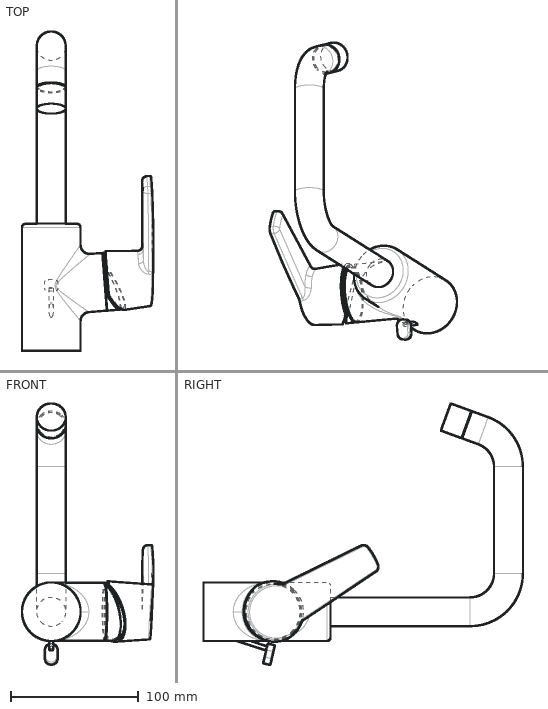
import cadquery as cq
import math

body_radius = 23.0
body_length = 99.7
body_end_fillet = 3.0

tube_diameter = 22.8
tube_radius = tube_diameter / 2
total_length = 250.5
riser_y = total_length - tube_radius
bend_radius = 30
riser_top_z = 113.8
nozzle_turn = 70
nozzle_length = 31.3
nozzle_groove_start = 13.5
nozzle_groove_width = 0.5
nozzle_groove_radius = 10.3

branch_y = 50.9
branch_tilt = 4.5
branch_radius = 22.8
branch_fillet = 7.0
branch_end = 41.9
core_radius = 21.5
collar_start = 42.4
collar_end = 43.5
collar_radius = branch_radius

lever_turn = 30
cap_start = 44.5
cap_start_radius = 24.0
cap_taper = 4
collar_slope = 0.42
cap_slope = 0.53
cap_reach = 27.5
core_end = 70.2
handle_back_height = 75.7
handle_front_height = 81.5
lever_length = 88.2
lever_tip_height = 85.0
lever_under_base = 72.2
lever_under_tip = 77.7
lever_base_half_width = 17.3
lever_tip_half_width = 11.5
lever_tip_bulge = 1.3
lever_corner_radius = 4.5
lever_edge_fillet = 4.0
lever_root_fillet = 3.8
root_top = 79.7
crown_edge_fillet = 1.3

rod_radius = 1.8
rod_drop = 18
rod_start_y = 25
rod_start_z = -20.8
rod_length = 25.5
knob_width = 10.3
knob_length = 16.0
knob_thickness = 6.0
knob_lean = 13
knob_fillet = 1.0
knob_y = 51.4
knob_z = -33.3


def make_spout():
    turn = math.radians(nozzle_turn)
    diagonal = bend_radius * math.sqrt(0.5)
    start_y = body_length / 2
    lower_center = (riser_y - bend_radius, bend_radius)
    upper_center = (riser_y - bend_radius, riser_top_z)

    def on_upper_bend(angle):
        y = upper_center[0] + bend_radius * math.cos(angle)
        z = upper_center[1] + bend_radius * math.sin(angle)
        return y, z

    nozzle_y, nozzle_z = on_upper_bend(turn)
    direction = cq.Vector(0, -math.sin(turn), math.cos(turn))
    path = (
        cq.Workplane("YZ")
        .moveTo(start_y, 0)
        .lineTo(lower_center[0], 0)
        .threePointArc((lower_center[0] + diagonal, lower_center[1] - diagonal), (riser_y, bend_radius))
        .lineTo(riser_y, riser_top_z)
        .threePointArc(on_upper_bend(turn / 2), (nozzle_y, nozzle_z))
        .lineTo(nozzle_y + direction.y * nozzle_length, nozzle_z + direction.z * nozzle_length)
    )
    section = cq.Workplane("XZ", origin=(0, start_y, 0)).circle(tube_radius)
    spout = section.sweep(path)

    groove_center = cq.Vector(0, nozzle_y, nozzle_z) + direction * nozzle_groove_start
    groove_plane = cq.Plane(origin=groove_center, xDir=(1, 0, 0), normal=direction)
    groove = (
        cq.Workplane(groove_plane)
        .circle(tube_diameter)
        .circle(nozzle_groove_radius)
        .extrude(nozzle_groove_width)
    )
    return spout.cut(groove)


def make_body():
    body = (
        cq.Workplane("XZ")
        .circle(body_radius)
        .extrude(-body_length)
        .faces(">Y")
        .edges()
        .fillet(body_end_fillet)
    )
    branch = cq.Workplane(branch_plane).circle(branch_radius).extrude(branch_end)
    seam_box = cq.selectors.BoxSelector(
        (0, body_end_fillet, -body_radius),
        (body_radius, body_length - 2 * body_end_fillet, body_radius),
    )
    return body.union(branch).edges(seam_box).fillet(branch_fillet)


def crowned_profile(start_points):
    """Local XZ outline closed by the gently crowned outer surface, cut across the handle."""
    return (
        cq.Workplane("XZ")
        .polyline(start_points)
        .threePointArc((body_radius, handle_front_height), (-cap_reach, handle_back_height))
        .close()
        .extrude(cap_reach, both=True)
    )


def make_collar():
    core = cq.Workplane("XY").circle(core_radius).extrude(core_end)
    ring = cq.Workplane("XY").circle(collar_radius).extrude(core_end)
    profile = (
        cq.Workplane("XZ")
        .moveTo(-cap_reach, collar_start)
        .lineTo(cap_reach, collar_start)
        .lineTo(cap_reach, collar_end)
        .lineTo(0, collar_end)
        .lineTo(-cap_reach, collar_end + cap_reach * collar_slope)
        .close()
        .extrude(cap_reach, both=True)
    )
    return core.union(ring.intersect(profile))


def make_cap():
    cone = (
        cq.Workplane("XY", origin=(0, 0, cap_start))
        .circle(cap_start_radius)
        .extrude(lever_tip_height - cap_start, taper=cap_taper)
    )
    profile = crowned_profile([
        (-cap_reach, cap_start + cap_reach * cap_slope),
        (0, cap_start),
        (lever_length, cap_start),
        (lever_length, lever_tip_height),
    ])
    return cone.intersect(profile)


def make_lever():
    tip_corner = lever_length - lever_tip_bulge
    plate = (
        cq.Workplane("XY")
        .moveTo(0, -lever_base_half_width)
        .lineTo(tip_corner, -lever_tip_half_width)
        .threePointArc((lever_length, 0), (tip_corner, lever_tip_half_width))
        .lineTo(0, lever_base_half_width)
        .close()
        .extrude(lever_tip_height)
        .edges("|Z and (not <X)")
        .fillet(lever_corner_radius)
    )
    profile = crowned_profile([
        (0, lever_under_base),
        (lever_length, lever_under_tip),
        (lever_length, lever_tip_height),
    ])
    lever = plate.intersect(profile)
    return lever.faces("<Z").edges("not <X").fillet(lever_edge_fillet)


def make_handle():
    grip = make_cap().union(make_lever())
    root_box = cq.selectors.BoxSelector(
        (cap_reach / 2, -cap_reach, core_end), (body_radius, cap_reach, root_top)
    )
    grip = grip.edges(root_box).fillet(lever_root_fillet)
    crown = cq.selectors.NearestToPointSelector((lever_length / 3, 0, handle_front_height))
    grip = grip.faces(crown).edges().fillet(crown_edge_fillet)
    handle = grip.union(make_collar())
    return cq.Workplane(handle.val().moved(cq.Location(handle_plane)))


def make_knob():
    rod_plane = cq.Plane(
        origin=(0, rod_start_y, rod_start_z), xDir=(1, 0, 0), normal=rod_direction
    )
    rod = cq.Workplane(rod_plane).circle(rod_radius).extrude(rod_length)
    knob = (
        cq.Workplane("XZ")
        .slot2D(knob_length, knob_width, 90)
        .extrude(knob_thickness / 2, both=True)
        .edges()
        .fillet(knob_fillet)
        .rotate((0, 0, 0), (1, 0, 0), -knob_lean)
        .translate((0, knob_y, knob_z))
    )
    return rod.union(knob)


tilt = math.radians(branch_tilt)
turn = math.radians(lever_turn)
drop = math.radians(rod_drop)
branch_axis = cq.Vector(math.cos(tilt), math.sin(tilt), 0)
branch_side = cq.Vector(-math.sin(tilt), math.cos(tilt), 0)
lever_axis = branch_side * math.cos(turn) + cq.Vector(0, 0, math.sin(turn))
rod_direction = cq.Vector(0, math.cos(drop), -math.sin(drop))
branch_origin = cq.Vector(0, branch_y, 0)
branch_plane = cq.Plane(origin=branch_origin, xDir=branch_side, normal=branch_axis)
handle_plane = cq.Plane(origin=branch_origin, xDir=lever_axis, normal=branch_axis)

result = make_body().union(make_spout()).union(make_handle()).union(make_knob())